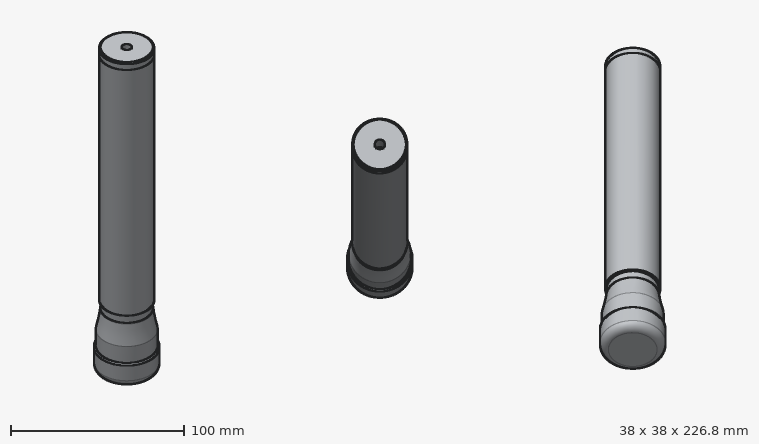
import cadquery as cq
import math

TOTAL_HEIGHT = 226.8

CAP_RADIUS = 19.0
CAP_HEIGHT = 16.8
CAP_BOTTOM_FILLET = 5.0
CAP_TOP_CHAMFER_HEIGHT = 1.1
ROD_RADIUS = 11.3
END_DISC_THICKNESS = 5.0
END_DISC_CHAMFER = 1.0

HOLE_RADIUS = 3.0
HOLE_DEPTH = 13.5
DRILL_POINT_ANGLE = 118.0

TUBE_DIAMETER = 32.0
TUBE_RADIUS = TUBE_DIAMETER / 2
COLLAR_RADIUS = 18.0
COLLAR_HEIGHT = 11.5
FLARE_HEIGHT = 14.0
FLARE_HOLLOW = 0.2
NECK_RADIUS = 15.2
NECK_HEIGHT = 6.4
NECK_EDGE = 0.7
FLARE_TOP_RADIUS = 15.5

END_DISC_Z = TOTAL_HEIGHT - END_DISC_THICKNESS
FLARE_Z = CAP_HEIGHT + COLLAR_HEIGHT
NECK_Z = FLARE_Z + FLARE_HEIGHT
TUBE_Z = NECK_Z + NECK_HEIGHT


def turn(half_section):
    """Revolve a section in the XZ plane a full turn about Z."""
    return half_section.close().revolve(360, (0, 0, 0), (0, 1, 0))


def make_drilled_hole():
    """Cutter for the blind hole, with a conical drill point."""
    floor_z = TOTAL_HEIGHT - HOLE_DEPTH
    point_depth = HOLE_RADIUS / math.tan(math.radians(DRILL_POINT_ANGLE / 2))
    return turn(
        cq.Workplane("XZ")
        .moveTo(0, floor_z - point_depth)
        .lineTo(HOLE_RADIUS, floor_z)
        .lineTo(HOLE_RADIUS, TOTAL_HEIGHT)
        .lineTo(0, TOTAL_HEIGHT)
    )


def make_core():
    """Foot cap and end disc joined by the rod that fills the sleeve."""
    blank = turn(
        cq.Workplane("XZ")
        .moveTo(0, 0)
        .lineTo(CAP_RADIUS - CAP_BOTTOM_FILLET, 0)
        .radiusArc((CAP_RADIUS, CAP_BOTTOM_FILLET), -CAP_BOTTOM_FILLET)
        .lineTo(CAP_RADIUS, CAP_HEIGHT - CAP_TOP_CHAMFER_HEIGHT)
        .lineTo(COLLAR_RADIUS, CAP_HEIGHT)
        .lineTo(ROD_RADIUS, CAP_HEIGHT)
        .lineTo(ROD_RADIUS, END_DISC_Z)
        .lineTo(TUBE_RADIUS, END_DISC_Z)
        .lineTo(TUBE_RADIUS, TOTAL_HEIGHT - END_DISC_CHAMFER)
        .lineTo(TUBE_RADIUS - END_DISC_CHAMFER, TOTAL_HEIGHT)
        .lineTo(0, TOTAL_HEIGHT)
    )
    return blank.cut(make_drilled_hole())


def make_sleeve():
    """Flared tube around the rod, held between the cap and the end disc."""
    flare_middle = (
        (COLLAR_RADIUS + FLARE_TOP_RADIUS) / 2 - FLARE_HOLLOW,
        FLARE_Z + FLARE_HEIGHT / 2,
    )
    return turn(
        cq.Workplane("XZ")
        .moveTo(ROD_RADIUS, CAP_HEIGHT)
        .lineTo(COLLAR_RADIUS, CAP_HEIGHT)
        .lineTo(COLLAR_RADIUS, FLARE_Z)
        .threePointArc(flare_middle, (FLARE_TOP_RADIUS, NECK_Z))
        .lineTo(NECK_RADIUS, NECK_Z + NECK_EDGE)
        .lineTo(NECK_RADIUS, TUBE_Z - NECK_EDGE)
        .lineTo(TUBE_RADIUS, TUBE_Z)
        .lineTo(TUBE_RADIUS, END_DISC_Z)
        .lineTo(ROD_RADIUS, END_DISC_Z)
    )


core = make_core()
sleeve = make_sleeve()

result = cq.Compound.makeCompound([core.val(), sleeve.val()])